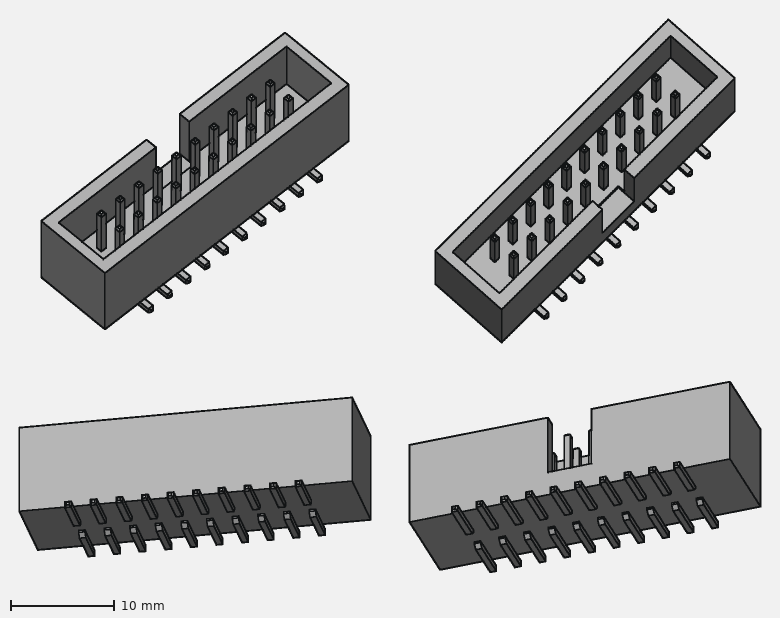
import cadquery as cq
import math


LENGTH = 33.02
WIDTH = 8.88
HEIGHT = 9.0
SIDE_WALL = 1.32
END_WALL = 1.1
CAVITY_DEPTH = 5.98

NOTCH_WIDTH = 4.5
NOTCH_REACH = 2.1
NOTCH_DEPTH = 6.37

PINS_PER_ROW = 10
PITCHES_PER_LENGTH = 13
PITCH = LENGTH / PITCHES_PER_LENGTH
ROW_OFFSET = PITCH / 2
WIRE = 0.63
PIN_RECESS = 0.3
LEAD_SPAN = 11.6
BEND_CHAMFER = 0.43
TIP_LENGTH = 0.2
TIP_INSET = 0.15
TIP_TAPER = math.degrees(math.atan(TIP_INSET / TIP_LENGTH))


def make_housing():
    """Open-topped box with the keying notch through its -X wall."""
    housing = cq.Workplane("XY").box(WIDTH, LENGTH, HEIGHT, centered=(True, True, False))
    cavity = (
        cq.Workplane("XY")
        .workplane(offset=HEIGHT - CAVITY_DEPTH)
        .rect(WIDTH - 2 * SIDE_WALL, LENGTH - 2 * END_WALL)
        .extrude(CAVITY_DEPTH)
    )
    notch = (
        cq.Workplane("XY")
        .workplane(offset=HEIGHT - NOTCH_DEPTH)
        .center(-WIDTH / 2 + NOTCH_REACH / 2, 0)
        .rect(NOTCH_REACH, NOTCH_WIDTH)
        .extrude(NOTCH_DEPTH)
    )
    return housing.cut(cavity).cut(notch)


def make_pointed_wire(plane, length):
    """Square wire along the plane normal, ending in a blunt pyramid tip."""
    shaft = cq.Workplane(plane).rect(WIRE, WIRE).extrude(length - TIP_LENGTH)
    tip = (
        cq.Workplane(plane)
        .workplane(offset=length - TIP_LENGTH)
        .rect(WIRE, WIRE)
        .extrude(TIP_LENGTH, taper=TIP_TAPER)
    )
    return shaft.union(tip)


def make_contact():
    """L-shaped contact of the +X row at Y = 0: upright pin and outward lead."""
    inner_face = ROW_OFFSET - WIRE / 2
    pin_plane = cq.Plane(origin=(ROW_OFFSET, 0, -WIRE))
    lead_plane = cq.Plane(origin=(inner_face, 0, -WIRE / 2), xDir=(0, 1, 0), normal=(1, 0, 0))
    pin = make_pointed_wire(pin_plane, HEIGHT + WIRE - PIN_RECESS)
    lead = make_pointed_wire(lead_plane, LEAD_SPAN / 2 - inner_face)
    bend_corner = (
        cq.Workplane("XZ")
        .moveTo(inner_face, -WIRE)
        .lineTo(inner_face + BEND_CHAMFER, -WIRE)
        .lineTo(inner_face, -WIRE + BEND_CHAMFER)
        .close()
        .extrude(WIRE / 2, both=True)
    )
    return pin.union(lead).cut(bend_corner)


right_contact = make_contact()
left_contact = right_contact.mirror("YZ")

result = make_housing()
for index in range(PINS_PER_ROW):
    y = (index - (PINS_PER_ROW - 1) / 2) * PITCH
    for contact in (left_contact, right_contact):
        result = result.union(contact.translate((0, y, 0)))